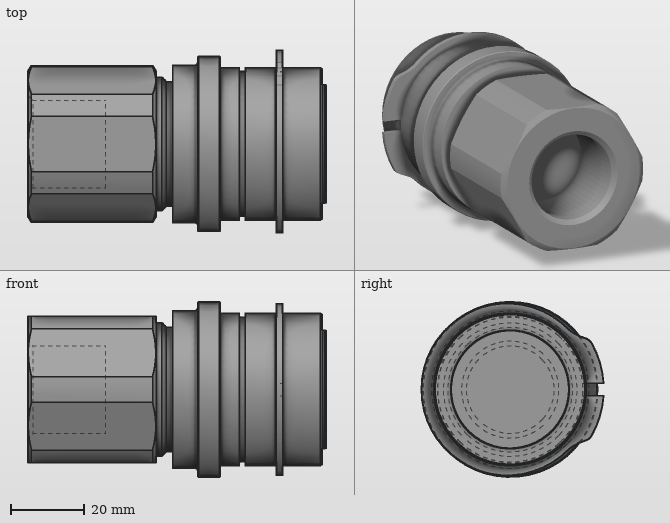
import cadquery as cq
import math

length = 81.6

hex_length = 35.1
hex_across_flats = 40.15
hex_corner_radius = 21.5
hex_face_radius = 19.9
hex_bevel_length = 1.0

bore_radius = 12.0
bore_mouth_radius = 13.3
bore_depth = 21.2

foot_fillet = 0.2

shoulder_radius = 18.3
shoulder_end = 36.6
neck_radius = 17.05
neck_start = shoulder_end + shoulder_radius - neck_radius

collar_start = 39.6
collar_radius = 21.55
flange_start = 46.5
flange_end = 52.6
flange_radius = 24.0
flange_bevel = 0.2
flange_fillet = 0.9

sleeve_radius = 20.9
sleeve_end = 80.5
sleeve_bevel_length = 0.6
sleeve_bevel_height = 0.4
seal_groove_start = 57.85
seal_groove_end = 59.5
seal_groove_radius = 19.8

spigot_radius = 16.2
spigot_bevel_length = 0.4
spigot_bevel_height = 0.2

ring_start = 68.0
ring_end = 69.7
ring_thickness = ring_end - ring_start
ring_radius = 23.5
ring_offset = -0.775
ring_groove_start = 67.7
ring_groove_radius = 19.8
lug_radius = 25.7
lug_tip_y = 22.35
lug_shoulder = (20.8, 13.95)
lug_neck = (18.6, 14.8)
lug_root_y = 14.8
lug_corner_bulge = 0.2
lug_root_bulge = 0.25
lug_gap = 3.35


def turn(points):
    """Revolve a closed (x, radius) outline about the X axis."""
    return cq.Workplane("XY").polyline(points).close().revolve(360, (0, 0, 0), (1, 0, 0))


def make_hexagon():
    blank = turn([
        (0, 0),
        (0, hex_face_radius),
        (hex_bevel_length, hex_corner_radius),
        (hex_length - hex_bevel_length, hex_corner_radius),
        (hex_length, hex_face_radius),
        (hex_length, 0),
    ])
    across_corners = hex_across_flats / math.cos(math.radians(30))
    prism = cq.Workplane("YZ").polygon(6, across_corners).extrude(hex_length)
    return blank.intersect(prism)


def add_foot(outline, wall_x, floor_radius):
    """Go down a wall at wall_x to a floor at floor_radius, rounding the inner corner."""
    inset = foot_fillet * (1 - math.sqrt(0.5))
    return outline.lineTo(wall_x, floor_radius + foot_fillet).threePointArc(
        (wall_x + inset, floor_radius + inset),
        (wall_x + foot_fillet, floor_radius),
    )


def make_body():
    fillet_inset = flange_fillet * (1 - math.sqrt(0.5))
    outline = cq.Workplane("XY").moveTo(hex_length, 0)
    outline = add_foot(outline, hex_length, shoulder_radius)
    outline = (
        outline
        .lineTo(shoulder_end, shoulder_radius)
        .lineTo(neck_start, neck_radius)
        .lineTo(collar_start, neck_radius)
        .lineTo(collar_start, collar_radius)
        .lineTo(flange_start - flange_fillet, collar_radius)
        .threePointArc(
            (flange_start - fillet_inset, collar_radius + fillet_inset),
            (flange_start, collar_radius + flange_fillet),
        )
        .lineTo(flange_start, flange_radius - flange_bevel)
        .lineTo(flange_start + flange_bevel, flange_radius)
        .lineTo(flange_end - flange_bevel, flange_radius)
        .lineTo(flange_end, flange_radius - flange_bevel)
    )
    outline = add_foot(outline, flange_end, sleeve_radius)
    outline = outline.lineTo(seal_groove_start, sleeve_radius)
    outline = add_foot(outline, seal_groove_start, seal_groove_radius)
    outline = (
        outline
        .lineTo(seal_groove_end, seal_groove_radius)
        .lineTo(seal_groove_end, sleeve_radius)
        .lineTo(ring_groove_start, sleeve_radius)
        .lineTo(ring_groove_start, ring_groove_radius)
        .lineTo(ring_end, ring_groove_radius)
        .lineTo(ring_end, sleeve_radius)
        .lineTo(sleeve_end - sleeve_bevel_length, sleeve_radius)
        .lineTo(sleeve_end, sleeve_radius - sleeve_bevel_height)
        .lineTo(sleeve_end, spigot_radius)
        .lineTo(length - spigot_bevel_length, spigot_radius)
        .lineTo(length, spigot_radius - spigot_bevel_height)
        .lineTo(length, 0)
        .close()
    )
    return outline.revolve(360, (0, 0, 0), (1, 0, 0))


def make_bore():
    mouth_depth = bore_mouth_radius - bore_radius
    return turn([
        (0, 0),
        (0, bore_mouth_radius),
        (mouth_depth, bore_radius),
        (bore_depth, bore_radius),
        (bore_depth, 0),
    ])


def make_ring():
    plane = cq.Workplane("YZ").workplane(offset=ring_start)
    disc = plane.center(ring_offset, 0).circle(ring_radius).extrude(ring_thickness)
    lug_tip_z = math.sqrt(lug_radius**2 - lug_tip_y**2)
    lug_root_z = math.sqrt(ring_radius**2 - (lug_root_y - ring_offset) ** 2)
    shoulder_y, shoulder_z = lug_shoulder
    neck_y, neck_z = lug_neck
    lugs = (
        plane.moveTo(0, -lug_root_z)
        .lineTo(lug_root_y, -lug_root_z)
        .sagittaArc((neck_y, -neck_z), lug_root_bulge)
        .lineTo(shoulder_y, -shoulder_z)
        .sagittaArc((lug_tip_y, -lug_tip_z), -lug_corner_bulge)
        .threePointArc((lug_radius, 0), (lug_tip_y, lug_tip_z))
        .sagittaArc((shoulder_y, shoulder_z), -lug_corner_bulge)
        .lineTo(neck_y, neck_z)
        .sagittaArc((lug_root_y, lug_root_z), lug_root_bulge)
        .lineTo(0, lug_root_z)
        .close()
        .extrude(ring_thickness)
    )
    gap = plane.center(lug_radius / 2, 0).rect(lug_radius, lug_gap).extrude(ring_thickness)
    return disc.union(lugs).cut(gap)


result = make_body().union(make_hexagon()).union(make_ring()).cut(make_bore())